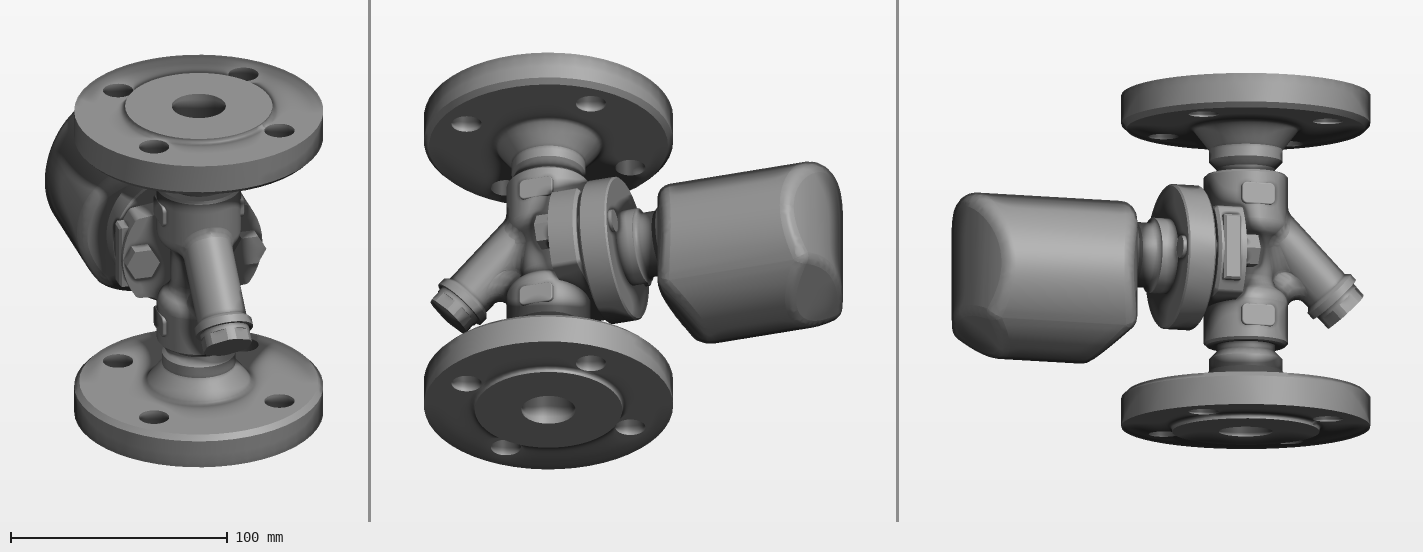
import cadquery as cq
import math


pipe_half_length = 80.0
flange_diameter = 115.0
flange_thickness = 18.0
flange_chamfer = 2.4
face_diameter = 68.0
face_height = 2.4
face_fillet = 1.8
bore_diameter = 25.0
bolt_hole_diameter = 14.0
bolt_circle_diameter = 85.0
bolt_hole_count = 4
hub_base_diameter = 49.5
hub_diameter = 34.0
hub_top = 51.9
hub_end = 46.4
weld_bevel_height = 3.5
hub_fillet = 2.8
neck_diameter = 27.1

body_diameter = 39.0
body_half_length = 39.9
body_chamfer = 1.2
waist_diameter = 26.0
waist_top = 4.5
waist_bottom = -8.5
shoulder_height = 12.4
pad_width = 16.1
pad_height = 10.2
pad_center_z = 28.5
pad_corner = 2.5
pad_edge = 0.5
pad_across = 39.3

branch_start_z = 27.3
branch_angle = 45
branch_diameter = 23.0
branch_length = 55.2
branch_fillet = 5.9
collar_diameter = 27.0
collar_chamfer = 2.0
collar_end = 60.7
cap_end = 63.0
hex_end = 68.5
hex_across_flats = 21.6
hex_turn = 30

stem_diameter = 35.0
groove_diameter = 30.0
disc_diameter = 67.0
disc_chamfer = 0.8
disc_left = -38.3
disc_right = -25.0
stem_left = -46.0
stem_start = -62.9
groove_left = -54.6
bracket_left = -23.5
bracket_right = -10.2
bracket_peak = 23.4
bracket_eave = 20.2
bracket_chamfer = 1.4
bracket_edge_fillet = 3.0
label_width = 8.3
label_height = 30.3
label_center_x = -17.0
label_face_y = -34.2
label_slope = 1.0
label_raise = 5.9
bolt_offset = 25.5
bolt_diameter = 10.5
bolt_protrusion = 1.8
nut_across_flats = 13.8
nut_height = 6.7

overall_length = 196.5
housing_left = flange_diameter / 2 - overall_length
housing_right = -56.0
housing_diameter = 76.0
housing_center_z = -14.0
housing_end_radius = 68.8
housing_corner_cut = 19.6
housing_fillet = 6.7


def cylinder_x(diameter, x_start, x_end, y=0.0):
    """Cylinder parallel to X."""
    plane = cq.Workplane("YZ", origin=(x_start, y, 0))
    return plane.circle(diameter / 2).extrude(x_end - x_start)


def hexagon_diameter(across_flats):
    """Diameter of the circle through a hexagon's corners."""
    return across_flats / math.cos(math.pi / 6)


def make_flange():
    """Upper flange with its raised face, weld neck and bolt holes."""
    flange_bottom = pipe_half_length - flange_thickness
    flange_top = pipe_half_length - face_height
    flange_radius = flange_diameter / 2
    face_radius = face_diameter / 2
    hub_radius = hub_diameter / 2
    hub_base_radius = hub_base_diameter / 2
    neck_radius = neck_diameter / 2

    cone_angle = math.atan2(hub_base_radius - hub_radius, flange_bottom - hub_top)
    setback = hub_fillet * math.tan((math.pi / 2 - cone_angle) / 2)
    cone_end_radius = hub_base_radius - setback * math.sin(cone_angle)
    cone_end_z = flange_bottom - setback * math.cos(cone_angle)

    flange = (
        cq.Workplane("XZ")
        .moveTo(0, body_half_length)
        .lineTo(neck_radius, body_half_length)
        .lineTo(neck_radius, hub_end - weld_bevel_height)
        .lineTo(hub_radius, hub_end)
        .lineTo(hub_radius, hub_top)
        .lineTo(cone_end_radius, cone_end_z)
        .tangentArcPoint((hub_base_radius + setback, flange_bottom), relative=False)
        .lineTo(flange_radius - flange_chamfer, flange_bottom)
        .lineTo(flange_radius, flange_bottom + flange_chamfer)
        .lineTo(flange_radius, flange_top)
        .lineTo(face_radius + face_fillet, flange_top)
        .tangentArcPoint((face_radius, flange_top + face_fillet), relative=False)
        .lineTo(face_radius, pipe_half_length)
        .lineTo(0, pipe_half_length)
        .close()
        .revolve(360, (0, 0, 0), (0, 1, 0))
    )
    holes = (
        cq.Workplane("XY", origin=(0, 0, flange_bottom))
        .polarArray(bolt_circle_diameter / 2, 180 / bolt_hole_count, 360, bolt_hole_count)
        .circle(bolt_hole_diameter / 2)
        .extrude(flange_thickness)
    )
    bore = (
        cq.Workplane("XY", origin=(0, 0, body_half_length))
        .circle(bore_diameter / 2)
        .extrude(pipe_half_length - body_half_length)
    )
    return flange.cut(holes).cut(bore)


def make_body():
    """Turned body with a narrower waist between two curved shoulders."""
    radius = body_diameter / 2
    waist_radius = waist_diameter / 2
    middle_radius = (radius + waist_radius) / 2
    half_shoulder = shoulder_height / 2
    return (
        cq.Workplane("XZ")
        .moveTo(0, body_half_length)
        .lineTo(radius - body_chamfer, body_half_length)
        .lineTo(radius, body_half_length - body_chamfer)
        .lineTo(radius, waist_top + shoulder_height)
        .tangentArcPoint((middle_radius, waist_top + half_shoulder), relative=False)
        .tangentArcPoint((waist_radius, waist_top), relative=False)
        .lineTo(waist_radius, waist_bottom)
        .tangentArcPoint((middle_radius, waist_bottom - half_shoulder), relative=False)
        .tangentArcPoint((radius, waist_bottom - shoulder_height), relative=False)
        .lineTo(radius, body_chamfer - body_half_length)
        .lineTo(radius - body_chamfer, -body_half_length)
        .lineTo(0, -body_half_length)
        .close()
        .revolve(360, (0, 0, 0), (0, 1, 0))
    )


def branch_plane(distance):
    """Work plane across the branch, at a distance along its axis."""
    angle = math.radians(branch_angle)
    direction = (math.sin(angle), 0, -math.cos(angle))
    origin = (distance * direction[0], 0, branch_start_z + distance * direction[2])
    return cq.Workplane(cq.Plane(origin=origin, xDir=(0, 1, 0), normal=direction))


def make_branch_cap():
    """Collar, cap and rounded hexagon on the end of the branch."""
    collar_plane = branch_plane(branch_length)
    collar = (
        collar_plane.circle(collar_diameter / 2)
        .extrude(collar_end - branch_length)
        .faces(cq.selectors.DirectionMinMaxSelector(collar_plane.plane.zDir, False))
        .chamfer(collar_chamfer)
    )
    cap = branch_plane(branch_length).circle(branch_diameter / 2).extrude(cap_end - branch_length)
    hexagon = (
        branch_plane(cap_end)
        .transformed(rotate=(0, 0, hex_turn))
        .polygon(6, hexagon_diameter(hex_across_flats))
        .extrude(hex_end - cap_end)
    )
    round_stock = branch_plane(cap_end).circle(branch_diameter / 2).extrude(hex_end - cap_end)
    return collar.union(cap).union(hexagon.intersect(round_stock))


def make_body_with_branch():
    """Body and branch blended together."""
    branch = branch_plane(0).circle(branch_diameter / 2).extrude(branch_length)
    return make_body().union(branch).edges("%BSPLINE").fillet(branch_fillet)


def make_pad(center_z):
    """Rounded rectangular pads standing on both sides of the body."""
    return (
        cq.Workplane("XZ", origin=(0, 0, center_z))
        .rect(pad_width, pad_height)
        .extrude(pad_across / 2, both=True)
        .edges("|Y")
        .fillet(pad_corner)
        .faces("<Y or >Y")
        .edges()
        .fillet(pad_edge)
    )


def make_stem():
    """Turned stem between the housing and the bracket, with its large disc."""
    groove_radius = groove_diameter / 2
    stem_radius = stem_diameter / 2
    stem_step = stem_radius - groove_radius
    groove_right = stem_left - stem_step
    stem = (
        cq.Workplane("XY")
        .moveTo(stem_start, 0)
        .lineTo(stem_start, stem_radius)
        .lineTo(groove_left - stem_step, stem_radius)
        .lineTo(groove_left, groove_radius)
        .lineTo(groove_right, groove_radius)
        .tangentArcPoint((stem_left, stem_radius), relative=False)
        .lineTo(bracket_right, stem_radius)
        .lineTo(bracket_right, 0)
        .close()
        .revolve(360, (0, 0, 0), (1, 0, 0))
    )
    disc = cylinder_x(disc_diameter, disc_left, disc_right).edges().chamfer(disc_chamfer)
    return stem.union(disc)


def make_bracket():
    """Round bracket trimmed by two shallow roofs, with a raised label plate."""
    eave_y = math.sqrt((disc_diameter / 2) ** 2 - bracket_eave**2)
    bracket = (
        cq.Workplane("YZ", origin=(bracket_left, 0, 0))
        .moveTo(0, bracket_peak)
        .lineTo(eave_y, bracket_eave)
        .threePointArc((disc_diameter / 2, 0), (eave_y, -bracket_eave))
        .lineTo(0, -bracket_peak)
        .lineTo(-eave_y, -bracket_eave)
        .threePointArc((-disc_diameter / 2, 0), (-eave_y, bracket_eave))
        .close()
        .extrude(bracket_right - bracket_left)
    )
    bracket = bracket.edges("|X").edges("<Y or >Y").fillet(bracket_edge_fillet)
    bracket = bracket.faces("<X").chamfer(bracket_chamfer)
    label = (
        cq.Workplane("XZ", origin=(label_center_x, label_face_y, 0))
        .rect(label_width, label_height)
        .extrude(-label_raise)
        .faces("<Y")
        .chamfer(label_slope)
    )
    return bracket.union(label)


def make_bolt(y):
    """Bolt through the disc and bracket, with its hexagon nut on the valve side."""
    shank = cylinder_x(bolt_diameter, disc_left - bolt_protrusion, bracket_right, y)
    nut = (
        cq.Workplane("YZ", origin=(bracket_right, y, 0))
        .polygon(6, hexagon_diameter(nut_across_flats))
        .extrude(nut_height)
    )
    return shank.union(nut)


def make_housing():
    """Horizontal drum with bowed ends and two cut lower corners, rounded all over."""
    radius = housing_diameter / 2
    bow = housing_end_radius - math.sqrt(housing_end_radius**2 - radius**2)
    bottom = housing_center_z - radius
    drum = (
        cq.Workplane("YZ", origin=(housing_left, 0, housing_center_z))
        .circle(radius)
        .extrude(housing_right - housing_left)
    )
    plan = (
        cq.Workplane("XY", origin=(0, 0, bottom))
        .moveTo(housing_left + bow, radius)
        .threePointArc((housing_left, 0), (housing_left + bow, -radius))
        .lineTo(housing_right - bow, -radius)
        .threePointArc((housing_right, 0), (housing_right - bow, radius))
        .close()
        .extrude(housing_diameter)
    )
    side = (
        cq.Workplane("XZ")
        .moveTo(housing_left, bottom + housing_corner_cut)
        .lineTo(housing_left + housing_corner_cut, bottom)
        .lineTo(housing_right - housing_corner_cut, bottom)
        .lineTo(housing_right, bottom + housing_corner_cut)
        .lineTo(housing_right, bottom + housing_diameter)
        .lineTo(housing_left, bottom + housing_diameter)
        .close()
        .extrude(radius, both=True)
    )
    return drum.intersect(plan).intersect(side).edges().fillet(housing_fillet)


flange = make_flange()
result = make_body_with_branch().union(flange).union(flange.mirror("XY"))
result = result.union(make_branch_cap())
for pad_z in (-pad_center_z, pad_center_z):
    result = result.union(make_pad(pad_z))
result = result.union(make_bracket()).union(make_stem())
for bolt_y in (-bolt_offset, bolt_offset):
    result = result.union(make_bolt(bolt_y))
result = result.union(make_housing()).solids()